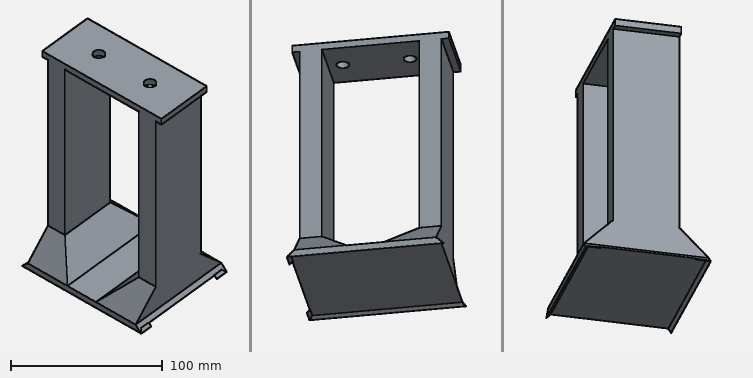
import cadquery as cq

frame_length = 105.0
base_width = 85.0
frame_height = 172.0
plate_thickness = 5.0

leg_width = 45.0
leg_thickness = 15.0
flare = 20.0

hole_diameter = 8.5
hole_spacing = 45.0

recess_depth = 2.0
recess_wall_inset = 2.5
lip_tab_width = 10.0

half_length = frame_length / 2
half_width = base_width / 2
leg_outer_x = half_length - plate_thickness
leg_inner_x = leg_outer_x - leg_thickness
flare_top_z = plate_thickness + flare
top_plate_z = frame_height - plate_thickness


def make_top_plate():
    """Flat plate with two through holes above the feet."""
    plate = cq.Workplane("XY").workplane(offset=top_plate_z)
    plate = plate.rect(frame_length, leg_width).extrude(plate_thickness)
    return (
        plate.faces(">Z").workplane()
        .rarray(hole_spacing, 1, 2, 1)
        .hole(hole_diameter)
    )


def make_leg():
    """The +X leg: a straight post on a foot flaring inward and to both Y sides."""
    post_x = (leg_outer_x + leg_inner_x) / 2
    post = (
        cq.Workplane("XY").workplane(offset=flare_top_z)
        .center(post_x, 0)
        .rect(leg_thickness, leg_width)
        .extrude(top_plate_z - flare_top_z)
    )
    foot = (
        cq.Workplane("XY").workplane(offset=plate_thickness)
        .center(post_x - flare / 2, 0)
        .rect(leg_thickness + flare, base_width)
        .workplane(offset=flare)
        .center(flare / 2, 0)
        .rect(leg_thickness, leg_width)
        .loft(ruled=True, combine=True)
    )
    return post.union(foot)


def make_base():
    """Base plate with 45 degree ends and a recess running through along X."""
    plate = (
        cq.Workplane("XZ")
        .polyline([
            (-half_length, 0),
            (half_length, 0),
            (leg_outer_x, plate_thickness),
            (-leg_outer_x, plate_thickness),
        ])
        .close()
        .extrude(half_width, both=True)
    )
    recess = (
        cq.Workplane("YZ")
        .polyline([
            (-half_width, 0),
            (half_width, 0),
            (half_width - recess_wall_inset, recess_depth),
            (-half_width + recess_wall_inset, recess_depth),
        ])
        .close()
        .extrude(half_length, both=True)
    )
    return plate.cut(recess)


def make_lip_tabs():
    """Two thin wedges continuing the sloped +X end of the base down to its bottom edge."""
    strip = (
        cq.Workplane("XZ")
        .polyline([
            (half_length, 0),
            (half_length - recess_depth, recess_depth),
            (half_length - recess_wall_inset, recess_depth),
        ])
        .close()
        .extrude(half_width, both=True)
    )
    gap = cq.Workplane("XY").box(
        2 * frame_length, base_width - 2 * lip_tab_width, 2 * plate_thickness
    )
    return strip.cut(gap)


leg = make_leg()
result = (
    make_base()
    .union(make_lip_tabs())
    .union(leg)
    .union(leg.mirror("YZ"))
    .union(make_top_plate())
)